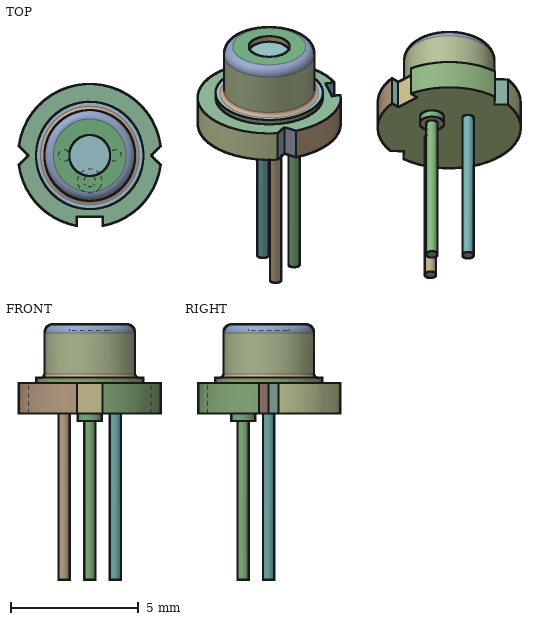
import cadquery as cq
import math

flange_diameter = 5.6
flange_thickness = 1.2
flange_radius = flange_diameter / 2

notch_floor_radius = 2.4
slot_width = 1.0
v_notch_angle = 90.0

ring_diameter = 4.2
ring_height = 0.2
cap_diameter = 3.55
cap_top = 2.3
cap_top_fillet = 0.35
cap_root_fillet = 0.15
window_diameter = 1.6
window_depth = 0.25

lead_diameter = 0.45
lead_length = 6.5
lead_offset = 1.0
collar_diameter = 0.95
collar_height = 0.3


def make_flange():
    """Disc with a rectangular notch at -Y and a V notch at each end of the X axis."""
    flange = cq.Workplane("XY").circle(flange_radius).extrude(-flange_thickness)

    slot_depth = flange_radius - notch_floor_radius
    slot = (
        cq.Workplane("XY")
        .center(0, -notch_floor_radius - slot_depth / 2)
        .rect(slot_width, slot_depth)
        .extrude(-flange_thickness)
    )
    flange = flange.cut(slot)

    v_half_width = slot_depth * math.tan(math.radians(v_notch_angle / 2))
    for side in (-1, 1):
        v_notch = (
            cq.Workplane("XY")
            .moveTo(side * notch_floor_radius, 0)
            .lineTo(side * flange_radius, v_half_width)
            .lineTo(side * flange_radius, -v_half_width)
            .close()
            .extrude(-flange_thickness)
        )
        flange = flange.cut(v_notch)
    return flange


def make_cap():
    """Round cap on a thin weld ring, revolved in one piece, with a window recess on top."""
    cap_radius = cap_diameter / 2
    root_radius = cap_radius + cap_root_fillet
    diagonal = math.sqrt(0.5)
    root_middle = (
        root_radius - cap_root_fillet * diagonal,
        ring_height + cap_root_fillet * (1 - diagonal),
    )
    top_middle = (
        cap_radius - cap_top_fillet * (1 - diagonal),
        cap_top - cap_top_fillet * (1 - diagonal),
    )
    cap = (
        cq.Workplane("XZ")
        .moveTo(0, 0)
        .lineTo(ring_diameter / 2, 0)
        .lineTo(ring_diameter / 2, ring_height)
        .lineTo(root_radius, ring_height)
        .threePointArc(root_middle, (cap_radius, ring_height + cap_root_fillet))
        .lineTo(cap_radius, cap_top - cap_top_fillet)
        .threePointArc(top_middle, (cap_radius - cap_top_fillet, cap_top))
        .lineTo(0, cap_top)
        .close()
        .revolve(360, (0, 0), (0, 1))
    )
    window = (
        cq.Workplane("XY", origin=(0, 0, cap_top))
        .circle(window_diameter / 2)
        .extrude(-window_depth)
    )
    return cap.cut(window)


def make_rod(x, y, diameter, length):
    """Vertical rod hanging from the underside of the flange."""
    underside = cq.Workplane("XY", origin=(x, y, -flange_thickness))
    return underside.circle(diameter / 2).extrude(-length)


def make_leads():
    """Two leads on the X axis and one on the -Y side, the last with a collar at its root."""
    leads = make_rod(0, -lead_offset, collar_diameter, collar_height)
    for x, y in ((-lead_offset, 0), (lead_offset, 0), (0, -lead_offset)):
        leads = leads.union(make_rod(x, y, lead_diameter, lead_length))
    return leads


result = make_flange().union(make_cap()).union(make_leads())